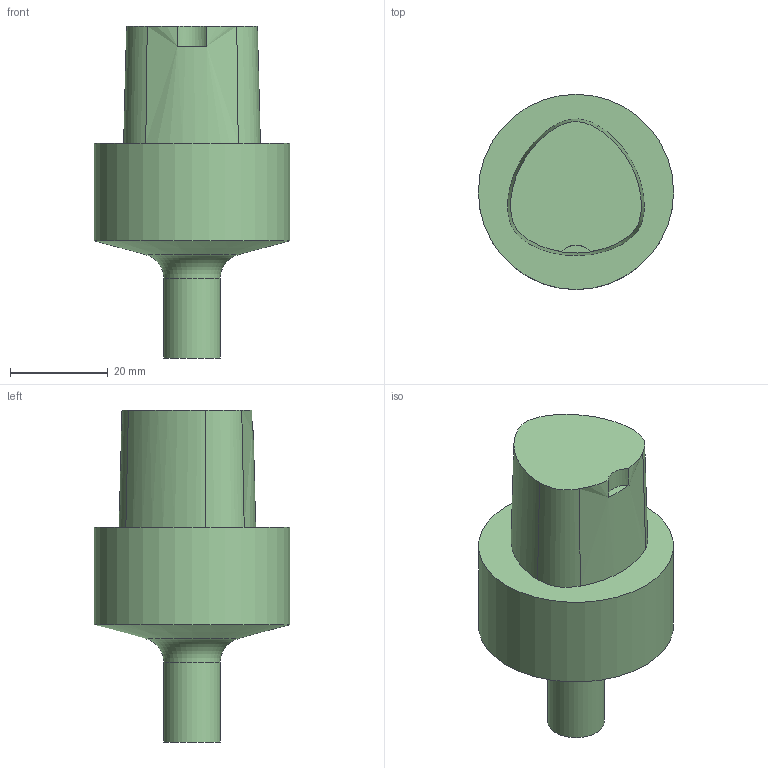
import cadquery as cq
import math

shank_length = 24.0
shank_base_diameter = 28.0
shank_taper = 1 / 20
lobe_eccentricity = 0.95
lobe_count = 3
points_per_segment = 9

notch_depth = 4.1
notch_radius = 4.0
notch_inner_y = -10.95

flange_diameter = 40.0
flange_height = 20.0
pin_diameter = 11.6
body_length = 44.0
neck_fillet = 5.0
cone_angle = math.radians(15)

flange_radius = flange_diameter / 2
pin_radius = pin_diameter / 2
shank_end_diameter = shank_base_diameter - shank_taper * shank_length
fillet_sweep = math.pi / 2 - cone_angle


def lobe_point(diameter, angle, z):
    """Point of the constant-width trilobe whose outward normal has the given angle."""
    support = diameter / 2 - lobe_eccentricity * math.sin(lobe_count * angle)
    slope = -lobe_count * lobe_eccentricity * math.cos(lobe_count * angle)
    x = support * math.cos(angle) - slope * math.sin(angle)
    y = support * math.sin(angle) + slope * math.cos(angle)
    return cq.Vector(x, y, z)


def lobe_wire(diameter, z):
    """Closed trilobe outline, one curve for each rounded corner and each flatter side."""
    segment_count = 2 * lobe_count
    segment_angle = 2 * math.pi / segment_count
    edges = []
    for segment in range(segment_count):
        start = segment * segment_angle
        angles = [start + segment_angle * i / (points_per_segment - 1) for i in range(points_per_segment)]
        points = [lobe_point(diameter, angle, z) for angle in angles]
        tangents = [cq.Vector(-math.sin(a), math.cos(a), 0) for a in (angles[0], angles[-1])]
        edges.append(cq.Edge.makeSpline(points, tangents=tangents))
    return cq.Wire.assembleEdges(edges)


def make_shank():
    base = lobe_wire(shank_base_diameter, 0)
    end = lobe_wire(shank_end_diameter, shank_length)
    return cq.Workplane(cq.Solid.makeLoft([base, end], True))


def make_notch():
    return (
        cq.Workplane("XY", origin=(0, notch_inner_y - notch_radius, shank_length - notch_depth))
        .circle(notch_radius)
        .extrude(notch_depth)
    )


def make_body():
    """Flange, shallow cone, filleted neck and pin, turned about Z."""
    neck_radius = pin_radius + neck_fillet * (1 - math.cos(fillet_sweep))
    neck_z = -flange_height - (flange_radius - neck_radius) * math.tan(cone_angle)
    pin_top_z = neck_z - neck_fillet * math.sin(fillet_sweep)
    arc_middle = (
        pin_radius + neck_fillet * (1 - math.cos(fillet_sweep / 2)),
        pin_top_z + neck_fillet * math.sin(fillet_sweep / 2),
    )
    return (
        cq.Workplane("XZ")
        .lineTo(flange_radius, 0)
        .lineTo(flange_radius, -flange_height)
        .lineTo(neck_radius, neck_z)
        .threePointArc(arc_middle, (pin_radius, pin_top_z))
        .lineTo(pin_radius, -body_length)
        .lineTo(0, -body_length)
        .close()
        .revolve(360, (0, 0, 0), (0, 1, 0))
    )


result = make_body().union(make_shank()).cut(make_notch())